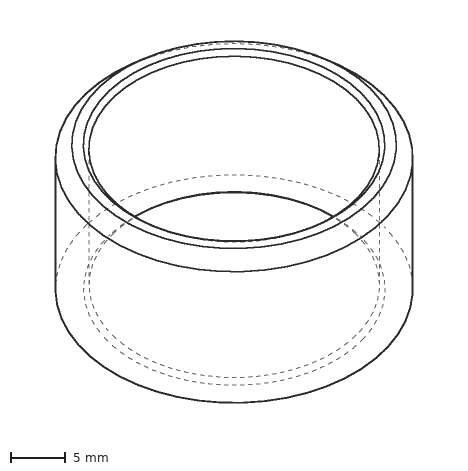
import cadquery as cq

outer_diameter = 32.5
bore_diameter = 26.4
height = 17.0
outer_chamfer = 1.5
bore_chamfer = 0.5

outer_radius = outer_diameter / 2
bore_radius = bore_diameter / 2


def ring_profile():
    """Half section of the ring in the XZ plane, with every chamfer at 45 degrees."""
    return (
        cq.Workplane("XZ")
        .moveTo(bore_radius + bore_chamfer, 0)
        .lineTo(outer_radius, 0)
        .lineTo(outer_radius, height - outer_chamfer)
        .lineTo(outer_radius - outer_chamfer, height)
        .lineTo(bore_radius + bore_chamfer, height)
        .lineTo(bore_radius, height - bore_chamfer)
        .lineTo(bore_radius, bore_chamfer)
        .close()
    )


result = ring_profile().revolve(360, (0, 0, 0), (0, 1, 0))